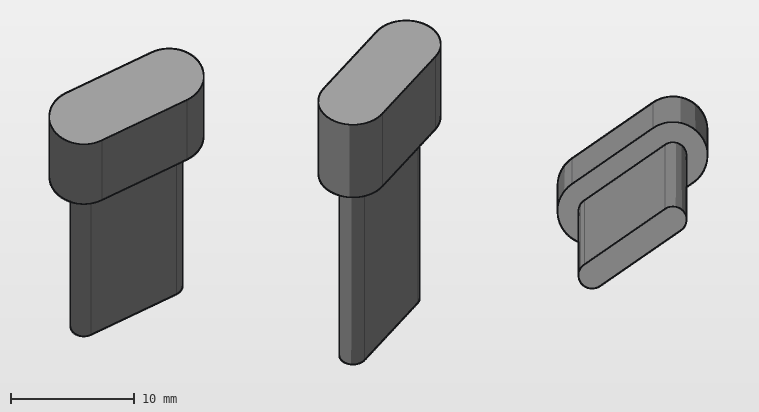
import cadquery as cq

total_height = 28.0
head_height = 8.0
head_thickness = 5.6
blade_thickness = 2.2
end_center_spacing = 8.0

blade_height = total_height - head_height


def rounded_bar(thickness, bottom, height):
    """Vertical bar with a slot-shaped section, long along Y."""
    section_length = end_center_spacing + thickness
    return (
        cq.Workplane("XY")
        .workplane(offset=bottom)
        .slot2D(section_length, thickness, 90)
        .extrude(height)
    )


blade = rounded_bar(blade_thickness, 0, blade_height)
head = rounded_bar(head_thickness, blade_height, head_height)

result = blade.union(head)